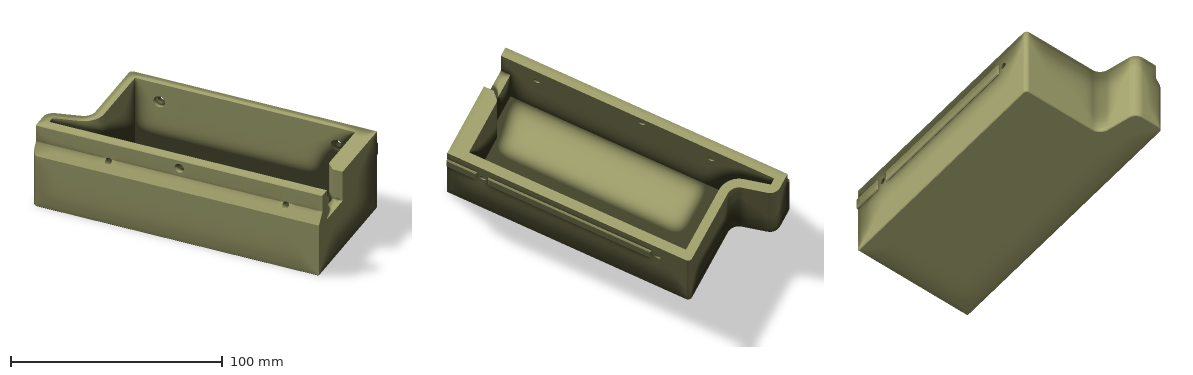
import cadquery as cq
import math

TOTAL_LENGTH = 149.1
TOTAL_DEPTH = 67.0
HEIGHT = 43.0

RIB_HEIGHT = 0.9
RIB_WIDTH = 7.0
RIB_CHAMFER = 0.6
RIB_CLEARANCE = 3.0

STRIP_SIZE = 0.1

LENGTH = TOTAL_LENGTH - STRIP_SIZE
DEPTH = TOTAL_DEPTH - RIB_HEIGHT
EDGE_CHAMFER = 0.4

LEFT_WALL = 4.6
BACK_WALL = 4.9
RIGHT_WALL = 9.1
FRONT_WALL = 9.1
FLOOR = 3.1

LEFT_WALL_X = 20.7
TOE_CORNER_Y = 16.3
TOE_SLOPE = 14.0
TOE_RADIUS = 5.4
BEND_RADIUS = 6.0
FRONT_CORNER_RADIUS = 2.5
BACK_CORNER_RADIUS = 2.1

SILL_HEIGHT = 26.7
SILL_THICKNESS = 5.0
NOTCH_BACK_Y = 27.0
NOTCH_BEND_RADIUS = 3.0

BAND_DEPTH = 4.0
BAND_BOTTOM = 33.8
SLOPE_BOTTOM = 28.3

MOUNT_HOLE_XS = (38.0, 130.2)
MOUNT_HOLE_Z = 33.0
MOUNT_HOLE_DIAMETER = 3.3
MOUNT_HEAD_DIAMETER = 6.0
MOUNT_HEAD_DEPTH = 2.0

CENTRE_HOLE_X = TOTAL_LENGTH / 2
CENTRE_HOLE_Z = 38.5
CENTRE_HOLE_DIAMETER = 3.5
CENTRE_HEAD_DIAMETER = 4.8
CENTRE_HEAD_DEPTH = 3.0

SLOPE_ANGLE = math.radians(TOE_SLOPE)
BACK_INNER_Y = DEPTH - BACK_WALL
RIGHT_INNER_X = LENGTH - RIGHT_WALL
SILL_INNER_X = LENGTH - SILL_THICKNESS


def outer_slope_y(x):
    return TOE_CORNER_Y + x * math.tan(SLOPE_ANGLE)


def inner_slope_y(x):
    return outer_slope_y(x) - LEFT_WALL / math.cos(SLOPE_ANGLE)


def round_upright_edge(solid, x, y, z, radius):
    """Fillet the vertical edge of the solid whose midpoint is at (x, y, z)."""
    return solid.edges(cq.NearestToPointSelector((x, y, z))).fillet(radius)


def outer_block():
    bend_y = outer_slope_y(LEFT_WALL_X)
    block = (
        cq.Workplane("XY")
        .polyline([
            (0, 0),
            (LENGTH, 0),
            (LENGTH, DEPTH),
            (LEFT_WALL_X, DEPTH),
            (LEFT_WALL_X, bend_y),
            (0, TOE_CORNER_Y),
        ])
        .close()
        .extrude(HEIGHT)
    )
    rounded_corners = [
        (0, 0, FRONT_CORNER_RADIUS),
        (0, TOE_CORNER_Y, TOE_RADIUS),
        (LEFT_WALL_X, bend_y, BEND_RADIUS),
        (LEFT_WALL_X, DEPTH, BACK_CORNER_RADIUS),
    ]
    for x, y, radius in rounded_corners:
        block = round_upright_edge(block, x, y, HEIGHT / 2, radius)
    return block.faces("<Z").chamfer(EDGE_CHAMFER)


def cavity():
    left_inner_x = LEFT_WALL_X + LEFT_WALL
    left_bend_y = inner_slope_y(left_inner_x)
    right_bend_y = NOTCH_BACK_Y + SILL_INNER_X - RIGHT_INNER_X
    cavity_depth = HEIGHT - FLOOR
    middle_z = FLOOR + cavity_depth / 2
    pocket = (
        cq.Workplane("XY", origin=(0, 0, FLOOR))
        .polyline([
            (LEFT_WALL, FRONT_WALL),
            (SILL_INNER_X, FRONT_WALL),
            (SILL_INNER_X, NOTCH_BACK_Y),
            (RIGHT_INNER_X, right_bend_y),
            (RIGHT_INNER_X, BACK_INNER_Y),
            (left_inner_x, BACK_INNER_Y),
            (left_inner_x, left_bend_y),
            (LEFT_WALL, inner_slope_y(LEFT_WALL)),
        ])
        .close()
        .extrude(cavity_depth)
    )
    pocket = round_upright_edge(pocket, left_inner_x, left_bend_y, middle_z, BEND_RADIUS + LEFT_WALL)
    return round_upright_edge(pocket, RIGHT_INNER_X, right_bend_y, middle_z, NOTCH_BEND_RADIUS)


def notch():
    return cq.Workplane("XY", origin=(SILL_INNER_X, FRONT_WALL, SILL_HEIGHT)).box(
        SILL_THICKNESS, NOTCH_BACK_Y - FRONT_WALL, HEIGHT - SILL_HEIGHT, centered=False
    )


def front_band():
    """Material cut from the front face: the slope, the set-back band and its top edge chamfer."""
    return (
        cq.Workplane("YZ")
        .polyline([
            (0, SLOPE_BOTTOM),
            (BAND_DEPTH, BAND_BOTTOM),
            (BAND_DEPTH, HEIGHT - EDGE_CHAMFER),
            (BAND_DEPTH + EDGE_CHAMFER, HEIGHT),
            (0, HEIGHT),
        ])
        .close()
        .extrude(LENGTH)
    )


def bore(x, z, diameter, start_y, end_y):
    return cq.Workplane("XZ", origin=(x, start_y, z)).circle(diameter / 2).extrude(start_y - end_y)


def mount_hole(x):
    hole = bore(x, MOUNT_HOLE_Z, MOUNT_HOLE_DIAMETER, 0, DEPTH)
    head = bore(x, MOUNT_HOLE_Z, MOUNT_HEAD_DIAMETER, BACK_INNER_Y, BACK_INNER_Y + MOUNT_HEAD_DEPTH)
    return hole.union(head)


def centre_hole():
    hole = bore(CENTRE_HOLE_X, CENTRE_HOLE_Z, CENTRE_HOLE_DIAMETER, 0, FRONT_WALL)
    head_end_y = BAND_DEPTH + CENTRE_HEAD_DEPTH
    return hole.union(bore(CENTRE_HOLE_X, CENTRE_HOLE_Z, CENTRE_HEAD_DIAMETER, 0, head_end_y))


def rib(start_x, end_x, chamfered_edges):
    return (
        cq.Workplane("XY", origin=((start_x + end_x) / 2, DEPTH + RIB_HEIGHT / 2, MOUNT_HOLE_Z))
        .box(end_x - start_x, RIB_HEIGHT, RIB_WIDTH)
        .faces(">Y")
        .edges(chamfered_edges)
        .chamfer(RIB_CHAMFER)
    )


def make_edge_strip():
    start_x = LEFT_WALL_X + BACK_CORNER_RADIUS
    return cq.Workplane("XY", origin=(start_x, DEPTH - STRIP_SIZE, HEIGHT - STRIP_SIZE)).box(
        TOTAL_LENGTH - start_x, STRIP_SIZE, STRIP_SIZE, centered=False
    )


def make_housing():
    left_hole_x, right_hole_x = MOUNT_HOLE_XS
    body = outer_block().cut(cavity()).cut(notch()).cut(front_band())
    body = body.union(rib(left_hole_x + RIB_CLEARANCE, right_hole_x - RIB_CLEARANCE, "|X or |Z"))
    body = body.union(rib(right_hole_x + RIB_CLEARANCE, LENGTH, "|X or <X"))
    for x in MOUNT_HOLE_XS:
        body = body.cut(mount_hole(x))
    return body.cut(centre_hole())


edge_strip = make_edge_strip()
housing = make_housing().cut(edge_strip)

result = cq.Compound.makeCompound([housing.val(), edge_strip.val()])